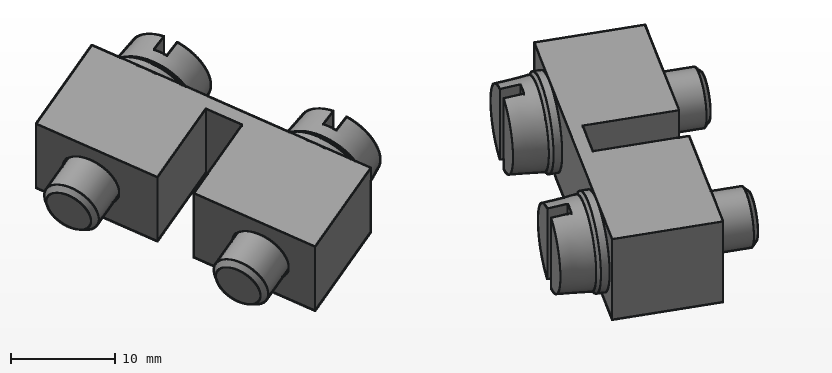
import cadquery as cq

length = 30.6
overall_depth = 20.0
height = 10.0

block_depth = 10.95
gap_width = 3.98
web_thickness = 1.45
hole_diameter = 6.2
screw_spacing = 18.57
screw_positions = (-screw_spacing / 2, screw_spacing / 2)

washer_diameter = height
washer_bore = 6.4
washer_thickness = 1.25
washer_rim_thickness = 0.85
washer_chamfer_width = 0.67

shank_diameter = 6.0
shank_projection = 4.35
tip_chamfer = 0.55
head_base_diameter = 9.5
head_top_diameter = 8.87
slot_width = 1.45
slot_depth = 2.02
head_height = overall_depth - shank_projection - block_depth - washer_thickness

tip_y = -shank_projection
washer_top_y = block_depth + washer_thickness
head_top_y = washer_top_y + head_height


def revolve_about_y(profile):
    return profile.close().revolve(360, (0, 0, 0), (0, 1, 0))


def make_bridge():
    gap_depth = block_depth - web_thickness
    bridge = cq.Workplane("XY").box(length, block_depth, height, centered=(True, False, True))
    gap = cq.Workplane("XY").box(gap_width, gap_depth, height, centered=(True, False, True))
    bridge = bridge.cut(gap)
    for x in screw_positions:
        hole = (
            cq.Workplane("XZ")
            .center(x, 0)
            .circle(hole_diameter / 2)
            .extrude(-block_depth)
        )
        bridge = bridge.cut(hole)
    return bridge


def make_washer(x):
    """Flat ring with a conical chamfer on the side facing the screw head."""
    bore_radius = washer_bore / 2
    outer_radius = washer_diameter / 2
    profile = (
        cq.Workplane("XY")
        .moveTo(bore_radius, block_depth)
        .lineTo(outer_radius, block_depth)
        .lineTo(outer_radius, block_depth + washer_rim_thickness)
        .lineTo(outer_radius - washer_chamfer_width, washer_top_y)
        .lineTo(bore_radius, washer_top_y)
    )
    return revolve_about_y(profile).translate((x, 0, 0))


def make_screw(x):
    """Chamfered shank with a tapered, slotted head."""
    shank_radius = shank_diameter / 2
    head_base_radius = head_base_diameter / 2
    head_top_radius = head_top_diameter / 2
    profile = (
        cq.Workplane("XY")
        .moveTo(0, tip_y)
        .lineTo(shank_radius - tip_chamfer, tip_y)
        .lineTo(shank_radius, tip_y + tip_chamfer)
        .lineTo(shank_radius, washer_top_y)
        .lineTo(head_base_radius, washer_top_y)
        .lineTo(head_top_radius, head_top_y)
        .lineTo(0, head_top_y)
    )
    slot = (
        cq.Workplane("XY")
        .box(slot_width, slot_depth, head_base_diameter, centered=(True, False, True))
        .translate((0, head_top_y - slot_depth, 0))
    )
    return revolve_about_y(profile).cut(slot).translate((x, 0, 0))


bridge = make_bridge()
washers = [make_washer(x) for x in screw_positions]
screws = [make_screw(x) for x in screw_positions]

result = cq.Compound.makeCompound([
    bridge.val(),
    *[washer.val() for washer in washers],
    *[screw.val() for screw in screws],
])